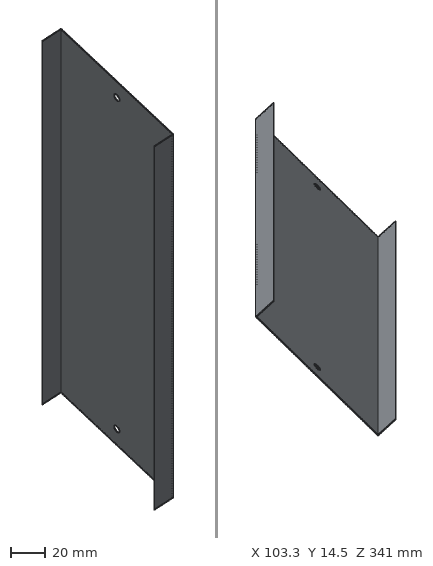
import cadquery as cq

width = 103.3
depth = 14.5
height = 341.0
sheet_thickness = 0.6

hole_diameter = 5.0
hole_end_distance = 15.0

web = cq.Workplane("XY").box(
    width, sheet_thickness, height, centered=(True, False, True)
).translate((0, depth / 2 - sheet_thickness, 0))


def flange(side):
    """Side wall at -X (side = -1) or +X (side = 1)."""
    center_x = side * (width - sheet_thickness) / 2
    return cq.Workplane("XY").box(sheet_thickness, depth, height).translate((center_x, 0, 0))


channel = web.union(flange(-1)).union(flange(1))

hole_z = height / 2 - hole_end_distance
holes = (
    cq.Workplane("XZ")
    .pushPoints([(0, -hole_z), (0, hole_z)])
    .circle(hole_diameter / 2)
    .extrude(depth, both=True)
)

result = channel.cut(holes)